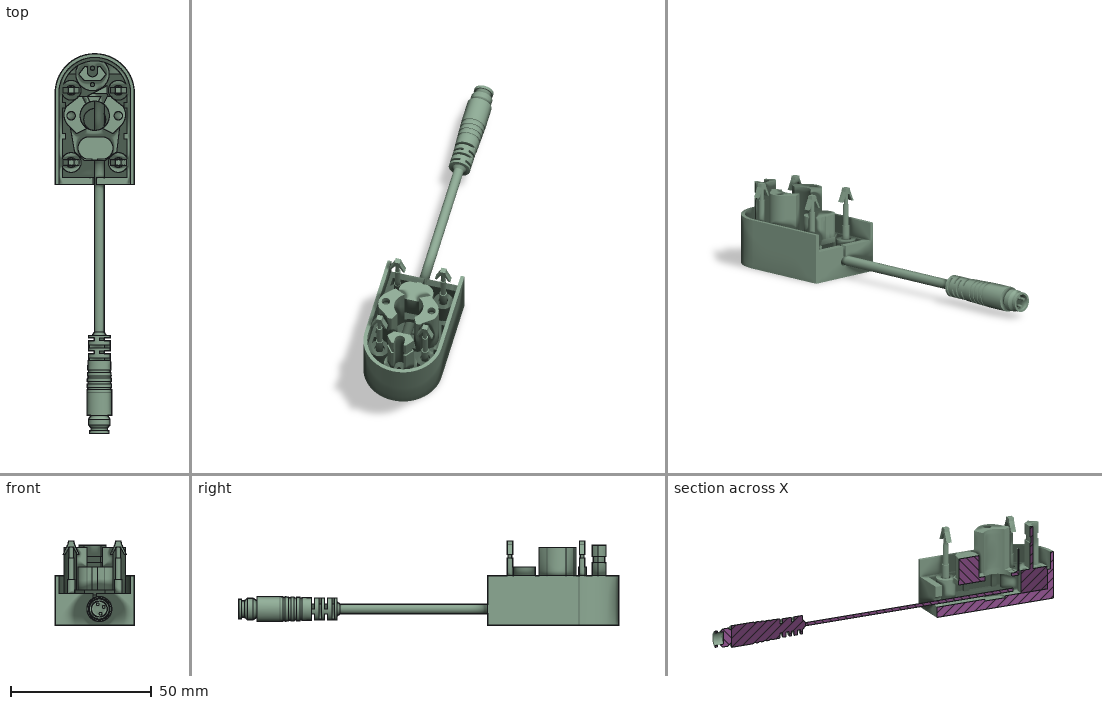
import cadquery as cq
import math

TOTAL_LENGTH = 135.0
HOUSING_WIDTH = 28.2
HOUSING_LENGTH = 46.6
HOUSING_HEIGHT = 17.7
WALL = 2.5
RIM_WALL = 1.4
LEDGE_Z = 11.3
FLOOR_Z = 4.0

HOUSING_RADIUS = HOUSING_WIDTH / 2
CAVITY_RADIUS = HOUSING_RADIUS - WALL
RIM_RADIUS = HOUSING_RADIUS - RIM_WALL
HOUSING_FRONT_Y = HOUSING_RADIUS - HOUSING_LENGTH
CAVITY_FRONT_Y = HOUSING_FRONT_Y + WALL
TIP_Y = HOUSING_RADIUS - TOTAL_LENGTH

CABLE_DIAMETER = 3.5
CABLE_X = 1.6
CABLE_Z = FLOOR_Z + CABLE_DIAMETER / 2
CABLE_END_Y = -2.0
SLIT_WIDTH = 1.2

PEG_X = 8.4
PEG_BACK_Y = 1.1
PEG_PITCH_Y = 25.7
PEG_PLACES = [(x, y) for x in (-PEG_X, PEG_X) for y in (PEG_BACK_Y, PEG_BACK_Y - PEG_PITCH_Y)]
BOSS_DIAMETER = 7.0
BOSS_RECESS_DIAMETER = 3.5
BOSS_RECESS_DEPTH = 1.4
PEG_FOOT_DIAMETER = 2.5
PEG_FOOT_TOP_Z = 16.2
PEG_SHAFT_DIAMETER = 2.0
PEG_SHAFT_TOP_Z = 23.9
PEG_CORE_DIAMETER = 1.5
PEG_TOP_Z = 30.0
BARB_TIP_HALF_WIDTH = 1.0
BARB_SHOULDER_HALF_WIDTH = 1.2
BARB_SHOULDER_DROP = 1.2
BARB_END_HALF_WIDTH = 2.8
BARB_END_DROP = 4.9
BARB_THICKNESS = 0.7
BARB_ROOT_DROP = 2.2

RIB_DEPTH = 1.2
RIB_LENGTH = 1.9
RIB_CENTRES_Y = (-4.2, -15.3)
SHELF_FRONT_Y = 6.9
SHELF_Z = 10.1

FLOOR_RECESS_DIAMETER = 7.8
FLOOR_RECESS_Y = -9.3
FLOOR_RECESS_DEPTH = 0.7

PLATE_BOTTOM_Z = 10.8
PLATE_TOP_Z = 12.5
PLATE_RECESS_DEPTH = 0.4
SADDLE_CENTRE_Y = -8.0
SADDLE_TOP_Z = 27.7
SADDLE_BORE_DIAMETER = 10.4
SADDLE_HOLE_DIAMETER = 3.0
SADDLE_HOLE_DEPTH = 2.7
PAD_X = 0.3
PAD_CENTRE_Y = -19.5
PAD_FLAT_LENGTH = 6.2
PAD_LENGTH = 12.4
PAD_WIDTH = 7.8
PAD_TOP_Z = 20.8
PAD_RIB_WIDTH = 1.9
PAD_RIB_HEIGHT = 0.4

TOWER_X = -0.8
TOWER_FOOT_Y = 6.9
TOWER_FOOT_DIAMETER = 11.9
TOWER_TOP_Z = 28.5
NECK_BOTTOM_Z = 22.3
NECK_TOP_Z = 24.5
NECK_INSET = 0.4
TOWER_NOTCH_WIDTH = 3.6
TOWER_NOTCH_CENTRE_Y = 7.7
TOWER_HOLE_DIAMETER = 1.5
TOWER_HOLE_DEPTH = 1.4
TOWER_HOLES_Y = (8.9, 3.1)

HEAD_LENGTH = 6.5
FLANGE_DIAMETER = 7.0
FLANGE_LENGTH = 1.1
HEAD_NECK_DIAMETER = 6.0
HEAD_NECK_END = 2.0
COLLAR_DIAMETER = 7.7
COLLAR_START = 3.1
COLLAR_END = 5.1
SOCKET_DIAMETER = 5.5
SOCKET_DEPTH = 3.4
PIN_DIAMETER = 1.0
PIN_LENGTH = 2.7
PIN_CIRCLE_RADIUS = 1.8
PIN_ANGLES = (108, 25, -75)

GRIP_DIAMETER = 8.9
GRIP_BACK_DIAMETER = 8.1
GRIP_STRAIGHT_END = 14.7
GRIP_TAPER_END = 25.9
RELIEF_DIAMETER = 7.8
RELIEF_END = 35.0
NOSE_END = 36.0
NOSE_DIAMETER = 5.0
GROOVE_DEPTH = 0.3
GROOVE_WIDTH = 0.8
GROOVE_PITCH = 2.0
GROOVE_COUNT = 4
GROOVE_START = 15.7
RELIEF_SLOT_WIDTH = 1.0
RELIEF_WEB = 3.6
SIDE_SLOTS = (28.5, 33.1)
UPRIGHT_SLOTS = (25.9, 30.5)
GRIP_END_Y = TIP_Y + NOSE_END


def cylinder(x, y, diameter, bottom_z, top_z):
    """Upright cylinder between two heights."""
    return cq.Workplane("XY", origin=(x, y, bottom_z)).circle(diameter / 2).extrude(top_z - bottom_z)


def lying_cylinder(x, z, diameter, start_y, end_y):
    """Cylinder along Y."""
    return cq.Workplane("XZ", origin=(x, end_y, z)).circle(diameter / 2).extrude(end_y - start_y)


def block(x_range, y_range, z_range):
    """Box given by its limits along each axis."""
    sizes = [high - low for low, high in (x_range, y_range, z_range)]
    corner = (x_range[0], y_range[0], z_range[0])
    return cq.Workplane("XY").box(*sizes, centered=False).translate(corner)


def arch(radius, front_y, bottom_z, top_z):
    """Prism with a square front and a half-round back about the origin."""
    outline = (
        cq.Workplane("XY", origin=(0, 0, bottom_z))
        .moveTo(-radius, front_y)
        .lineTo(radius, front_y)
        .lineTo(radius, 0)
        .threePointArc((0, radius), (-radius, 0))
        .close()
    )
    return outline.extrude(top_z - bottom_z)


def boss_cylinders(diameter, bottom_z, top_z):
    """Upright cylinders on the four peg axes."""
    points = cq.Workplane("XY", origin=(0, 0, bottom_z)).pushPoints(PEG_PLACES)
    return points.circle(diameter / 2).extrude(top_z - bottom_z)


def tower_foot(bottom_z, top_z):
    """Round tower foot, trimmed where it meets the cavity wall."""
    foot = cylinder(TOWER_X, TOWER_FOOT_Y, TOWER_FOOT_DIAMETER, bottom_z, top_z)
    return foot.intersect(arch(CAVITY_RADIUS, CAVITY_FRONT_Y, bottom_z, top_z))


def make_housing():
    cavity = arch(CAVITY_RADIUS, CAVITY_FRONT_Y, FLOOR_Z, HOUSING_HEIGHT)
    rim_opening = arch(RIM_RADIUS, HOUSING_FRONT_Y, LEDGE_Z, HOUSING_HEIGHT)
    body = arch(HOUSING_RADIUS, HOUSING_FRONT_Y, 0, HOUSING_HEIGHT).cut(rim_opening).cut(cavity)

    cavity_fill = arch(CAVITY_RADIUS, CAVITY_FRONT_Y, FLOOR_Z, SHELF_Z)
    housing_range = (-HOUSING_RADIUS, HOUSING_RADIUS)
    back_zone = block(housing_range, (SHELF_FRONT_Y, HOUSING_RADIUS), (FLOOR_Z, SHELF_Z))
    shelf = cavity_fill.intersect(back_zone).cut(tower_foot(FLOOR_Z, SHELF_Z))
    body = body.union(shelf)

    recess_bottom_z = FLOOR_Z - FLOOR_RECESS_DEPTH
    body = body.cut(cylinder(0, FLOOR_RECESS_Y, FLOOR_RECESS_DIAMETER, recess_bottom_z, FLOOR_Z))

    body = body.union(boss_cylinders(BOSS_DIAMETER, FLOOR_Z, LEDGE_Z))
    body = body.cut(boss_cylinders(BOSS_RECESS_DIAMETER, LEDGE_Z - BOSS_RECESS_DEPTH, LEDGE_Z))

    for rib_y in RIB_CENTRES_Y:
        y_range = (rib_y - RIB_LENGTH / 2, rib_y + RIB_LENGTH / 2)
        for side in (-1, 1):
            x_range = sorted((side * CAVITY_RADIUS, side * (CAVITY_RADIUS - RIB_DEPTH)))
            body = body.union(block(x_range, y_range, (FLOOR_Z, LEDGE_Z)))

    wall_range = (HOUSING_FRONT_Y, CAVITY_FRONT_Y)
    for hole_x in (0, CABLE_X):
        body = body.cut(lying_cylinder(hole_x, CABLE_Z, CABLE_DIAMETER, *wall_range))
    slit = block((-SLIT_WIDTH / 2, SLIT_WIDTH / 2), wall_range, (CABLE_Z, LEDGE_Z))
    return body.cut(slit)


def make_saddle():
    """Left saddle, before the central bore hollows its inner side."""
    outline = (
        cq.Workplane("XY", origin=(0, SADDLE_CENTRE_Y, PLATE_BOTTOM_Z))
        .moveTo(-2.8, 3.6)
        .lineTo(-4.5, 6.9)
        .lineTo(-6.0, 6.9)
        .lineTo(-6.5, 6.1)
        .lineTo(-10.0, 3.4)
        .threePointArc((-11.0, 0.4), (-9.3, -3.5))
        .lineTo(-6.5, -6.3)
        .lineTo(-2.4, -4.3)
        .close()
    )
    saddle = outline.extrude(SADDLE_TOP_Z - PLATE_BOTTOM_Z)
    hole = cylinder(
        -PEG_X, SADDLE_CENTRE_Y, SADDLE_HOLE_DIAMETER, SADDLE_TOP_Z - SADDLE_HOLE_DEPTH, SADDLE_TOP_Z
    )
    return saddle.cut(hole)


def make_plate():
    """Plate that tapers towards the front, with a shallow flared recess at its back edge."""
    outline = [
        (4.3, 0), (-1.0, 0), (-2.7, -1.1), (-6.0, -1.1), (-8.8, -11.5),
        (-7.2, -20.8), (-3.6, -23.9), (3.6, -23.9), (7.8, -20.8), (8.9, -11.5),
    ]
    base = cq.Workplane("XY", origin=(0, 0, PLATE_BOTTOM_Z))
    plate = base.polyline(outline).close().extrude(PLATE_TOP_Z - PLATE_BOTTOM_Z)
    recess_outline = [(-2.5, -1.1), (2.2, -1.1), (1.1, -3.4), (-1.6, -3.4)]
    recess_base = cq.Workplane("XY", origin=(0, 0, PLATE_TOP_Z - PLATE_RECESS_DEPTH))
    return plate.cut(recess_base.polyline(recess_outline).close().extrude(PLATE_RECESS_DEPTH))


def make_pad():
    """Pad with straight long sides and bowed ends, and a narrow rib on its front."""
    half_flat = PAD_FLAT_LENGTH / 2
    half_length = PAD_LENGTH / 2
    half_width = PAD_WIDTH / 2
    pad = (
        cq.Workplane("XY", origin=(PAD_X, PAD_CENTRE_Y, PLATE_BOTTOM_Z))
        .moveTo(-half_flat, -half_width)
        .lineTo(half_flat, -half_width)
        .threePointArc((half_length, 0), (half_flat, half_width))
        .lineTo(-half_flat, half_width)
        .threePointArc((-half_length, 0), (-half_flat, -half_width))
        .close()
        .extrude(PAD_TOP_Z - PLATE_BOTTOM_Z)
    )
    rib_front_y = PAD_CENTRE_Y - half_width - PAD_RIB_HEIGHT
    rib = block(
        (-PAD_RIB_WIDTH / 2, PAD_RIB_WIDTH / 2), (rib_front_y, PAD_CENTRE_Y), (PLATE_BOTTOM_Z, PAD_TOP_Z)
    )
    return pad.union(rib)


def make_fin():
    """Three-cornered fin between the plate and the tower foot."""
    corners = [(-1.0, -0.1), (4.3, -0.1), (4.3, 2.7)]
    base = cq.Workplane("XY", origin=(0, 0, PLATE_BOTTOM_Z))
    return base.polyline(corners).close().extrude(PAD_TOP_Z - PLATE_BOTTOM_Z)


def make_insert():
    saddle = make_saddle()
    insert = make_plate().union(saddle).union(saddle.mirror("YZ")).union(make_pad()).union(make_fin())
    insert = insert.cut(cylinder(0, SADDLE_CENTRE_Y, SADDLE_BORE_DIAMETER, PLATE_BOTTOM_Z, SADDLE_TOP_Z))
    insert = insert.cut(boss_cylinders(BOSS_DIAMETER, PLATE_BOTTOM_Z, LEDGE_Z))
    return insert.cut(tower_foot(PLATE_BOTTOM_Z, PLATE_TOP_Z))


def tower_prism(bottom_z, top_z, inset=0):
    """Six-sided length of the tower, its faces moved inwards by the inset."""
    half_outline = [(3.0, 4.6), (4.9, 6.8), (2.7, 9.6)]
    outline = half_outline + [(-x, y) for x, y in reversed(half_outline)]
    hexagon = cq.Workplane("XY", origin=(TOWER_X, 0, bottom_z)).polyline(outline).close()
    if inset:
        hexagon = hexagon.offset2D(-inset)
    return hexagon.extrude(top_z - bottom_z)


def make_tower():
    column = tower_prism(PLATE_TOP_Z, NECK_BOTTOM_Z)
    column = column.union(tower_prism(NECK_BOTTOM_Z, NECK_TOP_Z, NECK_INSET))
    column = column.union(tower_prism(NECK_TOP_Z, TOWER_TOP_Z))

    notch = cylinder(TOWER_X, TOWER_NOTCH_CENTRE_Y, TOWER_NOTCH_WIDTH, PLATE_TOP_Z, TOWER_TOP_Z)
    half_notch = TOWER_NOTCH_WIDTH / 2
    notch = notch.union(
        block(
            (TOWER_X - half_notch, TOWER_X + half_notch),
            (TOWER_NOTCH_CENTRE_Y, HOUSING_RADIUS),
            (PLATE_TOP_Z, TOWER_TOP_Z),
        )
    )
    tower = tower_foot(FLOOR_Z, PLATE_TOP_Z).union(column.cut(notch))
    for hole_y in TOWER_HOLES_Y:
        hole = cylinder(TOWER_X, hole_y, TOWER_HOLE_DIAMETER, PLATE_TOP_Z - TOWER_HOLE_DEPTH, PLATE_TOP_Z)
        tower = tower.cut(hole)
    return tower


def make_peg(x, y):
    """Stepped peg with an arrow-shaped snap head."""
    foot = cylinder(x, y, PEG_FOOT_DIAMETER, LEDGE_Z - BOSS_RECESS_DEPTH, PEG_FOOT_TOP_Z)
    shaft = cylinder(x, y, PEG_SHAFT_DIAMETER, PEG_FOOT_TOP_Z, PEG_SHAFT_TOP_Z)
    core = cylinder(x, y, PEG_CORE_DIAMETER, PEG_SHAFT_TOP_Z, PEG_TOP_Z)
    half_outline = [
        (BARB_TIP_HALF_WIDTH, PEG_TOP_Z),
        (BARB_SHOULDER_HALF_WIDTH, PEG_TOP_Z - BARB_SHOULDER_DROP),
        (BARB_END_HALF_WIDTH, PEG_TOP_Z - BARB_END_DROP),
        (BARB_END_HALF_WIDTH - BARB_THICKNESS, PEG_TOP_Z - BARB_END_DROP),
        (PEG_CORE_DIAMETER / 2, PEG_TOP_Z - BARB_ROOT_DROP),
    ]
    mirrored = [(-u, v) for u, v in reversed(half_outline)]
    barbs = (
        cq.Workplane("XZ", origin=(x, y, 0))
        .polyline(half_outline + mirrored)
        .close()
        .extrude(PEG_SHAFT_DIAMETER / 2, both=True)
    )
    return foot.union(shaft).union(core).union(barbs)


def turned(profile):
    """Solid of revolution on the cable axis from (radius, distance from the tip) points."""
    plane = cq.Workplane("XY", origin=(CABLE_X, TIP_Y, CABLE_Z))
    return plane.polyline(profile).close().revolve(360, (0, 0), (0, 1))


def make_cable():
    return lying_cylinder(CABLE_X, CABLE_Z, CABLE_DIAMETER, GRIP_END_Y, CABLE_END_Y)


def grip_radius(distance):
    """Radius of the tapered part of the grip."""
    share = (distance - GRIP_STRAIGHT_END) / (GRIP_TAPER_END - GRIP_STRAIGHT_END)
    return (GRIP_DIAMETER + share * (GRIP_BACK_DIAMETER - GRIP_DIAMETER)) / 2


def relief_slot(start, corner_side):
    """Half of a strain-relief slot: it clears one side of the web and one corner beside the core."""
    y_range = (start, start + RELIEF_SLOT_WIDTH)
    half_web = RELIEF_WEB / 2
    side_cut = block((half_web, GRIP_DIAMETER), y_range, (-GRIP_DIAMETER, GRIP_DIAMETER))
    corner_z = sorted((corner_side * half_web, corner_side * GRIP_DIAMETER))
    return side_cut.union(block((0, half_web), y_range, corner_z))


def make_grip():
    profile = [(0, HEAD_LENGTH), (GRIP_DIAMETER / 2, HEAD_LENGTH), (GRIP_DIAMETER / 2, GRIP_STRAIGHT_END)]
    for index in range(GROOVE_COUNT):
        start = GROOVE_START + index * GROOVE_PITCH
        end = start + GROOVE_WIDTH
        profile += [
            (grip_radius(start), start),
            (grip_radius(start) - GROOVE_DEPTH, start),
            (grip_radius(end) - GROOVE_DEPTH, end),
            (grip_radius(end), end),
        ]
    profile += [
        (GRIP_BACK_DIAMETER / 2, GRIP_TAPER_END),
        (RELIEF_DIAMETER / 2, GRIP_TAPER_END),
        (RELIEF_DIAMETER / 2, RELIEF_END),
        (NOSE_DIAMETER / 2, RELIEF_END),
        (CABLE_DIAMETER / 2, NOSE_END),
        (0, NOSE_END),
    ]
    grip = turned(profile)

    for slots, turn, corner_side in ((SIDE_SLOTS, 0, 1), (UPRIGHT_SLOTS, 90, -1)):
        for start in slots:
            for half_turn in (0, 180):
                slot = relief_slot(start, corner_side)
                slot = slot.rotate((0, 0, 0), (0, 1, 0), turn + half_turn)
                grip = grip.cut(slot.translate((CABLE_X, TIP_Y, CABLE_Z)))
    return grip


def make_plug_head():
    neck_radius = HEAD_NECK_DIAMETER / 2
    head = turned(
        [
            (0, 0),
            (FLANGE_DIAMETER / 2, 0),
            (FLANGE_DIAMETER / 2, FLANGE_LENGTH),
            (neck_radius, FLANGE_LENGTH),
            (neck_radius, HEAD_NECK_END),
            (COLLAR_DIAMETER / 2, COLLAR_START),
            (COLLAR_DIAMETER / 2, COLLAR_END),
            (neck_radius, HEAD_LENGTH),
            (0, HEAD_LENGTH),
        ]
    )
    socket_floor_y = TIP_Y + SOCKET_DEPTH
    head = head.cut(lying_cylinder(CABLE_X, CABLE_Z, SOCKET_DIAMETER, TIP_Y, socket_floor_y))
    for angle in PIN_ANGLES:
        pin_x = CABLE_X + PIN_CIRCLE_RADIUS * math.cos(math.radians(angle))
        pin_z = CABLE_Z + PIN_CIRCLE_RADIUS * math.sin(math.radians(angle))
        pin = lying_cylinder(pin_x, pin_z, PIN_DIAMETER, socket_floor_y - PIN_LENGTH, socket_floor_y)
        head = head.union(pin)
    return head


housing = make_housing()
insert = make_insert()
tower = make_tower()
pegs = [make_peg(x, y) for x, y in PEG_PLACES]
cable = make_cable()
grip = make_grip()
plug_head = make_plug_head()

result = cq.Compound.makeCompound(
    [
        housing.val(),
        insert.val(),
        tower.val(),
        *[peg.val() for peg in pegs],
        cable.val(),
        grip.val(),
        plug_head.val(),
    ]
)